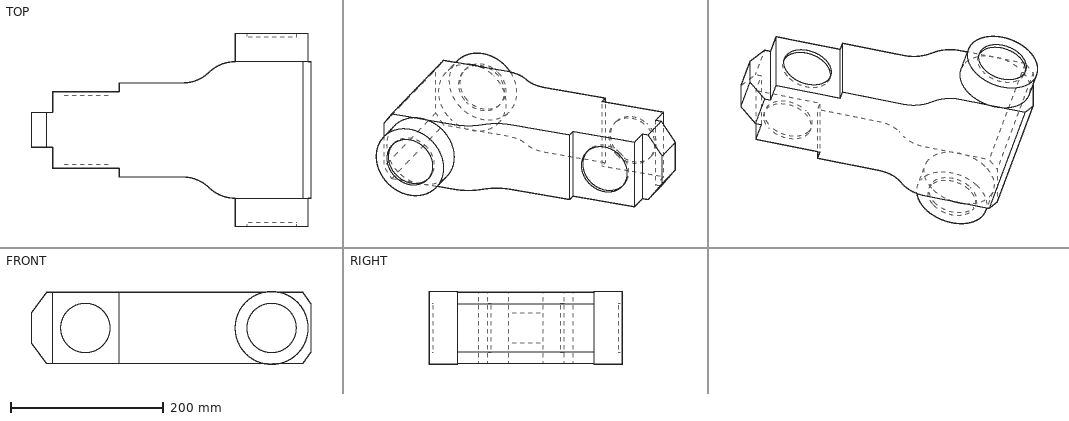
import cadquery as cq
import math


trunnion_diameter = 96.0
trunnion_span = 254.0

total_length = 368.0
body_height = 94.0
head_width = 180.0
neck_width = 124.0
arm_width = 101.0
tongue_width = 46.0
rear_overhang = 52.0
tongue_length = 28.0
arm_length = 87.5
shoulder_radius = 49.0

tip_bevel_length = 20.0
tip_bevel_height = 27.0
rear_bevel_length = 11.0
rear_bevel_height = 15.5

recess_diameter = 65.0
recess_depth = 5.0
recess_spacing = 245.0

rear_x = rear_overhang
tip_x = rear_x - total_length
arm_start_x = tip_x + tongue_length
neck_start_x = arm_start_x + arm_length
head_start_x = -trunnion_diameter / 2

shoulder_rise = (head_width - neck_width) / 2
shoulder_angle = math.acos(1 - shoulder_rise / (2 * shoulder_radius))
shoulder_half_run = shoulder_radius * math.sin(shoulder_angle)
shoulder_mid_x = head_start_x - shoulder_half_run
shoulder_start_x = shoulder_mid_x - shoulder_half_run
shoulder_mid_y = (head_width + neck_width) / 4


def make_half_body():
    """Plan outline of the +Y half of the body, extruded to full height."""
    return (
        cq.Workplane("XY")
        .workplane(offset=-body_height / 2)
        .moveTo(tip_x, 0)
        .lineTo(tip_x, tongue_width / 2)
        .lineTo(arm_start_x, tongue_width / 2)
        .lineTo(arm_start_x, arm_width / 2)
        .lineTo(neck_start_x, arm_width / 2)
        .lineTo(neck_start_x, neck_width / 2)
        .lineTo(shoulder_start_x, neck_width / 2)
        .radiusArc((shoulder_mid_x, shoulder_mid_y), -shoulder_radius)
        .radiusArc((head_start_x, head_width / 2), shoulder_radius)
        .lineTo(rear_x, head_width / 2)
        .lineTo(rear_x, 0)
        .close()
        .extrude(body_height)
    )


def make_side_envelope():
    """Side profile with both bevelled ends, as wide as the head."""
    half_height = body_height / 2
    return (
        cq.Workplane("XZ")
        .polyline([
            (tip_x, half_height - tip_bevel_height),
            (tip_x + tip_bevel_length, half_height),
            (rear_x - rear_bevel_length, half_height),
            (rear_x, half_height - rear_bevel_height),
            (rear_x, rear_bevel_height - half_height),
            (rear_x - rear_bevel_length, -half_height),
            (tip_x + tip_bevel_length, -half_height),
            (tip_x, tip_bevel_height - half_height),
        ])
        .close()
        .extrude(head_width / 2, both=True)
    )


def make_cross_cylinder(x, diameter, y_start, y_end):
    """Cylinder parallel to Y, centred on the mid-height plane."""
    return (
        cq.Workplane("XZ", origin=(x, y_start, 0))
        .circle(diameter / 2)
        .extrude(y_start - y_end)
    )


def cut_recess_pair(solid, x, face_width):
    """Sink a round recess into both opposite faces at the given X."""
    for side in (-1, 1):
        face_y = side * face_width / 2
        floor_y = face_y - side * recess_depth
        solid = solid.cut(make_cross_cylinder(x, recess_diameter, face_y, floor_y))
    return solid


half_body = make_half_body()
body = half_body.union(half_body.mirror("XZ"))
body = body.intersect(make_side_envelope())

trunnion = make_cross_cylinder(0, trunnion_diameter, -trunnion_span / 2, -head_width / 2)
body = body.union(trunnion).union(trunnion.mirror("XZ"))

body = cut_recess_pair(body, 0, trunnion_span)
result = cut_recess_pair(body, -recess_spacing, arm_width)